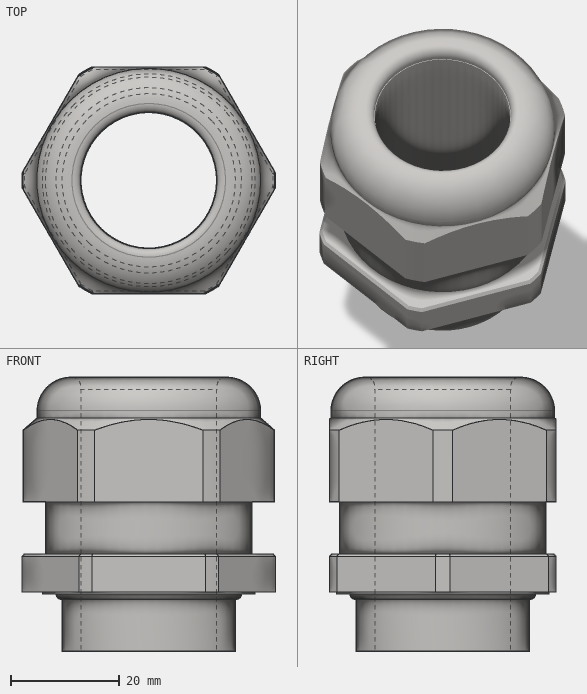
import cadquery as cq
import math

total_height = 50.6
across_flats = 41.85

bore_radius = 25.0 / 2
mouth_radius = 25.2 / 2
mouth_ledge_z = 48.35
mouth_rounding = 1.55

thread_radius = 32.0 / 2

seal_bottom_z = 9.6
seal_radius = 17.1
washer_bottom_z = 10.6
washer_radius = 19.65
seal_rounding = washer_bottom_z - seal_bottom_z

lower_hex_bottom_z = 10.95
lower_hex_top_z = 18.0
lower_hex_corner_radius = 46.8 / 2
lower_hex_chamfer = 0.5

body_radius = 38.1 / 2

nut_bottom_z = 27.6
nut_cone_start_z = 40.85
nut_cone_end_z = 43.1
nut_corner_radius = 23.2
cap_radius = 41.3 / 2
dome_inner_radius = mouth_radius + mouth_rounding
dome_base_z = 44.45


def cylinder(radius, bottom_z, top_z):
    return cq.Workplane("XY").workplane(offset=bottom_z).circle(radius).extrude(top_z - bottom_z)


def hexagon(corner_radius, bottom_z, top_z):
    """Hexagonal prism with flats facing +/-Y and its corners turned to a radius."""
    sharp_diameter = across_flats / math.cos(math.radians(30))
    base = cq.Workplane("XY").workplane(offset=bottom_z)
    prism = base.polygon(6, sharp_diameter).extrude(top_z - bottom_z)
    return prism.intersect(cylinder(corner_radius, bottom_z, top_z))


def seal():
    """Sealing ring with a rounded lower edge."""
    ring = cylinder(seal_radius, seal_bottom_z, lower_hex_bottom_z)
    return ring.faces("<Z").edges().fillet(seal_rounding)


def lower_hexagon():
    prism = hexagon(lower_hex_corner_radius, lower_hex_bottom_z, lower_hex_top_z)
    return prism.faces(">Z").edges().chamfer(lower_hex_chamfer)


def nut_hexagon():
    """Hexagon whose upper corners are cut by a cone reaching up to the cap."""
    envelope = (
        cq.Workplane("XZ")
        .moveTo(0, nut_bottom_z)
        .lineTo(nut_corner_radius, nut_bottom_z)
        .lineTo(nut_corner_radius, nut_cone_start_z)
        .lineTo(cap_radius, nut_cone_end_z)
        .lineTo(0, nut_cone_end_z)
        .close()
        .revolve(360, (0, 0, 0), (0, 1, 0))
    )
    return hexagon(nut_corner_radius, nut_bottom_z, nut_cone_end_z).intersect(envelope)


def domed_cap():
    """Cap with a dome outside and a rounded mouth inside, meeting at the top."""
    dome_width = cap_radius - dome_inner_radius
    dome_height = total_height - dome_base_z
    diagonal = math.sqrt(0.5)
    dome_middle = (dome_inner_radius + dome_width * diagonal, dome_base_z + dome_height * diagonal)
    mouth_arc_middle = (
        dome_inner_radius - mouth_rounding * diagonal,
        total_height - mouth_rounding + mouth_rounding * diagonal,
    )
    return (
        cq.Workplane("XZ")
        .moveTo(0, nut_cone_end_z)
        .lineTo(cap_radius, nut_cone_end_z)
        .lineTo(cap_radius, dome_base_z)
        .threePointArc(dome_middle, (dome_inner_radius, total_height))
        .threePointArc(mouth_arc_middle, (mouth_radius, total_height - mouth_rounding))
        .lineTo(mouth_radius, mouth_ledge_z)
        .lineTo(0, mouth_ledge_z)
        .close()
        .revolve(360, (0, 0, 0), (0, 1, 0))
    )


thread = cylinder(thread_radius, 0, lower_hex_bottom_z)
washer_face = cylinder(washer_radius, washer_bottom_z, lower_hex_bottom_z)
body = cylinder(body_radius, lower_hex_top_z, nut_bottom_z)

result = (
    thread.union(seal())
    .union(washer_face)
    .union(lower_hexagon())
    .union(body)
    .union(nut_hexagon())
    .union(domed_cap())
    .cut(cylinder(bore_radius, 0, total_height))
)